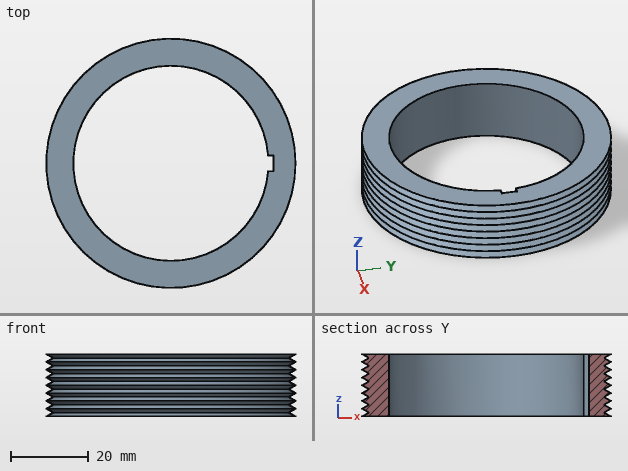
import cadquery as cq

outer_diameter = 64.0
bore_diameter = 50.0
height = 16.0
groove_count = 8
groove_depth = 1.7
key_width = 4.0
key_reach = 26.3

outer_radius = outer_diameter / 2
groove_pitch = height / groove_count


def ring_blank():
    """Plain ring standing on the XY plane."""
    return cq.Workplane("XY").circle(outer_radius).circle(bore_diameter / 2).extrude(height)


def v_groove(bottom):
    """V-shaped ring cut from the rim, one pitch tall, starting at the given height."""
    profile = [
        (outer_radius, bottom),
        (outer_radius - groove_depth, bottom + groove_pitch / 2),
        (outer_radius, bottom + groove_pitch),
    ]
    return cq.Workplane("XZ").polyline(profile).close().revolve(360, (0, 0), (0, 1))


def keyway():
    """Full-height slot on the +X side of the bore."""
    return cq.Workplane("XY").rect(key_reach, key_width).extrude(height).translate((key_reach / 2, 0, 0))


result = ring_blank().cut(keyway())
for index in range(groove_count):
    result = result.cut(v_groove(index * groove_pitch))